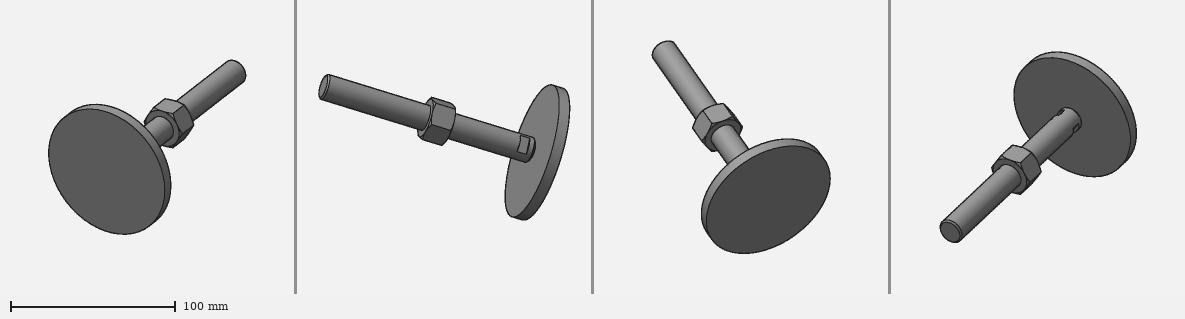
import cadquery as cq
import math

TOTAL_LENGTH = 145.0

BASE_DIAMETER = 84.0
BASE_THICKNESS = 7.0

ROD_DIAMETER = 16.0
ROD_START = 7.8
ROD_CHAMFER = 1.0
NECK_DIAMETER = 10.9

FLATS_START = 11.9
FLATS_LENGTH = 6.1
ACROSS_ROD_FLATS = 11.9
FLATS_ANGLE = 30.0

NUT_START = 62.6
NUT_HEIGHT = 14.8
NUT_ACROSS_FLATS = 24.0
NUT_CHAMFER_ANGLE = 30.0


def cylinder(diameter, start, length):
    """Cylinder on the Y axis, from Y = start to Y = start + length."""
    plane = cq.Plane(origin=(0, start, 0), xDir=(1, 0, 0), normal=(0, 1, 0))
    return cq.Workplane(plane).circle(diameter / 2).extrude(length)


def make_base():
    return cylinder(BASE_DIAMETER, 0, BASE_THICKNESS)


def cut_wrench_flats(rod):
    """Cut two parallel flats across the rod near its lower end."""
    band = cylinder(2 * ROD_DIAMETER, FLATS_START, FLATS_LENGTH)
    kept_slab = (
        cq.Workplane("XY")
        .box(ACROSS_ROD_FLATS, FLATS_LENGTH, 2 * ROD_DIAMETER)
        .rotate((0, 0, 0), (0, 1, 0), -FLATS_ANGLE)
        .translate((0, FLATS_START + FLATS_LENGTH / 2, 0))
    )
    return rod.cut(band.cut(kept_slab))


def make_rod():
    """Chamfered rod with wrench flats and a short neck that meets the base."""
    rod = cylinder(ROD_DIAMETER, ROD_START, TOTAL_LENGTH - ROD_START)
    rod = rod.faces("<Y or >Y").chamfer(ROD_CHAMFER)
    rod = cut_wrench_flats(rod)
    neck = cylinder(NECK_DIAMETER, BASE_THICKNESS, ROD_START - BASE_THICKNESS)
    return rod.union(neck)


def make_nut():
    """Hexagon nut with chamfered corners, bored to fit the rod."""
    across_corners = NUT_ACROSS_FLATS / math.cos(math.radians(30))
    corner_width = (across_corners - NUT_ACROSS_FLATS) / 2
    corner_drop = corner_width * math.tan(math.radians(NUT_CHAMFER_ANGLE))

    plane = cq.Plane(origin=(0, NUT_START, 0), xDir=(1, 0, 0), normal=(0, 1, 0))
    hexagon = cq.Workplane(plane).polygon(6, across_corners).extrude(NUT_HEIGHT)
    envelope = (
        cylinder(across_corners, NUT_START, NUT_HEIGHT)
        .faces("<Y")
        .chamfer(corner_drop, corner_width)
        .faces(">Y")
        .chamfer(corner_drop, corner_width)
    )
    bore = cylinder(ROD_DIAMETER, NUT_START, NUT_HEIGHT)
    return hexagon.intersect(envelope).cut(bore)


base = make_base()
rod = make_rod()
nut = make_nut()

result = cq.Compound.makeCompound([base.val(), rod.val(), nut.val()])